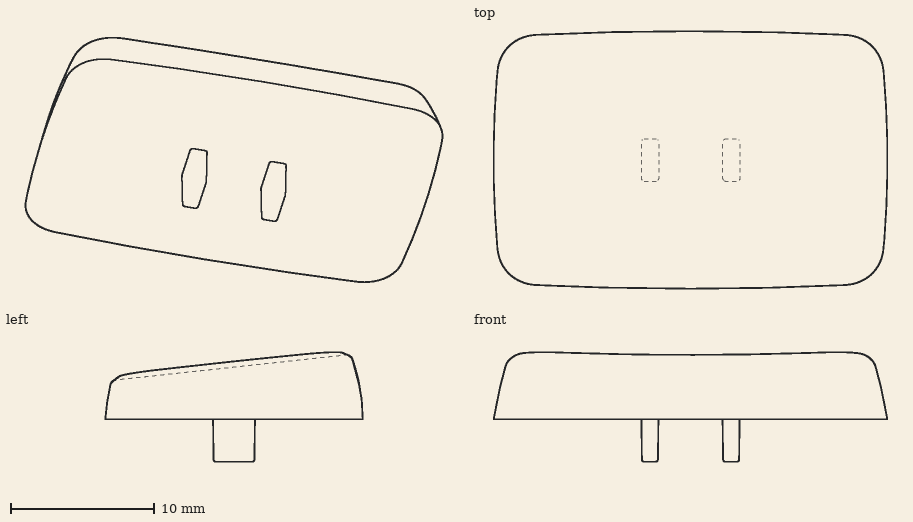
import cadquery as cq
import math

BASE_LENGTH = 27.52
BASE_WIDTH = 18.0
BASE_BOW = 0.28
BASE_CORNER_RADIUS = 2.7

BOW_STEPS = (0.3, 0.6, 0.9)
ARC_STEPS = (15, 45, 75)

BLANK_HEIGHT = 5.5
END_LEAN = 1.4
END_LEAN_MID = 0.58
FRONT_LEAN = 1.27
FRONT_LEAN_MID = 0.3
BACK_LEAN = 1.38
BACK_LEAN_MID = 0.45
TOP_BOW = 0.39
TOP_CORNER_RADIUS = 3.45

DISH_RADIUS = 199.52
DISH_HEIGHT = 3.65
DISH_TILT = 6.2
RIM_FILLET = 0.5

PRONG_SPACING = 5.67
PRONG_LENGTH = 2.97
PRONG_THICKNESS = 1.2
PRONG_WIDTH = 2.95
PRONG_SIDE_TAPER = 0.04
PRONG_EDGE_FILLET = 0.22
PRONG_TIP_FILLET = 0.17


def corner_points(half_x, half_y, bow, corner_radius):
    """Points from the +Y side, round the +X +Y corner, to the +X side, without the side centres."""
    straight_x = half_x - corner_radius
    straight_y = half_y - corner_radius
    side_points = [(straight_x * part, half_y - bow * part**2) for part in BOW_STEPS]
    arc_points = [
        (
            straight_x - bow + corner_radius * math.sin(math.radians(angle)),
            straight_y - bow + corner_radius * math.cos(math.radians(angle)),
        )
        for angle in ARC_STEPS
    ]
    end_points = [(half_x - bow * part**2, straight_y * part) for part in reversed(BOW_STEPS)]
    return side_points + arc_points + end_points


def bowed_outline(z, end_lean, front_lean, back_lean, bow, corner_radius):
    """Outline at height z: a rectangle with bowed sides and rounded corners, as two mirrored curves."""
    half_x = BASE_LENGTH / 2 - end_lean
    back_y = BASE_WIDTH / 2 - back_lean
    front_y = front_lean - BASE_WIDTH / 2
    middle_y = (back_y + front_y) / 2
    corner = corner_points(half_x, (back_y - front_y) / 2, bow, corner_radius)
    back_corner = [(x, middle_y + y) for x, y in corner]
    front_corner = [(x, middle_y - y) for x, y in reversed(corner)]
    right_half = [(0, back_y)] + back_corner + [(half_x, middle_y)] + front_corner + [(0, front_y)]
    left_half = [(-x, y) for x, y in reversed(right_half)]
    return (
        cq.Workplane("XY", origin=(0, 0, z))
        .spline(right_half, tangents=[(1, 0), (-1, 0)])
        .spline(left_half, tangents=[(-1, 0), (1, 0)])
        .wire()
        .val()
    )


def cap_blank():
    """Cap walls, taller than the finished cap."""
    mid_bow = (BASE_BOW + TOP_BOW) / 2
    mid_radius = (BASE_CORNER_RADIUS + TOP_CORNER_RADIUS) / 2
    sections = [
        bowed_outline(0, 0, 0, 0, BASE_BOW, BASE_CORNER_RADIUS),
        bowed_outline(BLANK_HEIGHT / 2, END_LEAN_MID, FRONT_LEAN_MID, BACK_LEAN_MID, mid_bow, mid_radius),
        bowed_outline(BLANK_HEIGHT, END_LEAN, FRONT_LEAN, BACK_LEAN, TOP_BOW, TOP_CORNER_RADIUS),
    ]
    return cq.Workplane(cq.Solid.makeLoft(sections))


def dish_cutter():
    """Cylinder lying above the cap, its lowest line sloping down towards +Y."""
    return (
        cq.Workplane("XZ")
        .center(0, DISH_RADIUS)
        .circle(DISH_RADIUS)
        .extrude(BASE_WIDTH, both=True)
        .rotate((0, 0, 0), (1, 0, 0), -DISH_TILT)
        .translate((0, 0, DISH_HEIGHT))
    )


def prong(x):
    """Tapered prong with rounded edges, rooted in the underside of the cap."""
    taper_angle = math.degrees(math.atan(PRONG_SIDE_TAPER / PRONG_LENGTH))
    return (
        cq.Workplane("XY")
        .rect(PRONG_THICKNESS, PRONG_WIDTH)
        .extrude(-PRONG_LENGTH, taper=taper_angle)
        .edges("not(#Z)")
        .fillet(PRONG_EDGE_FILLET)
        .faces("<Z")
        .edges()
        .fillet(PRONG_TIP_FILLET)
        .translate((x, 0, 0))
    )


cap = cap_blank().cut(dish_cutter())
cap = cap.faces(">Z").edges().fillet(RIM_FILLET)

result = cap
for side in (-1, 1):
    result = result.union(prong(side * PRONG_SPACING / 2))